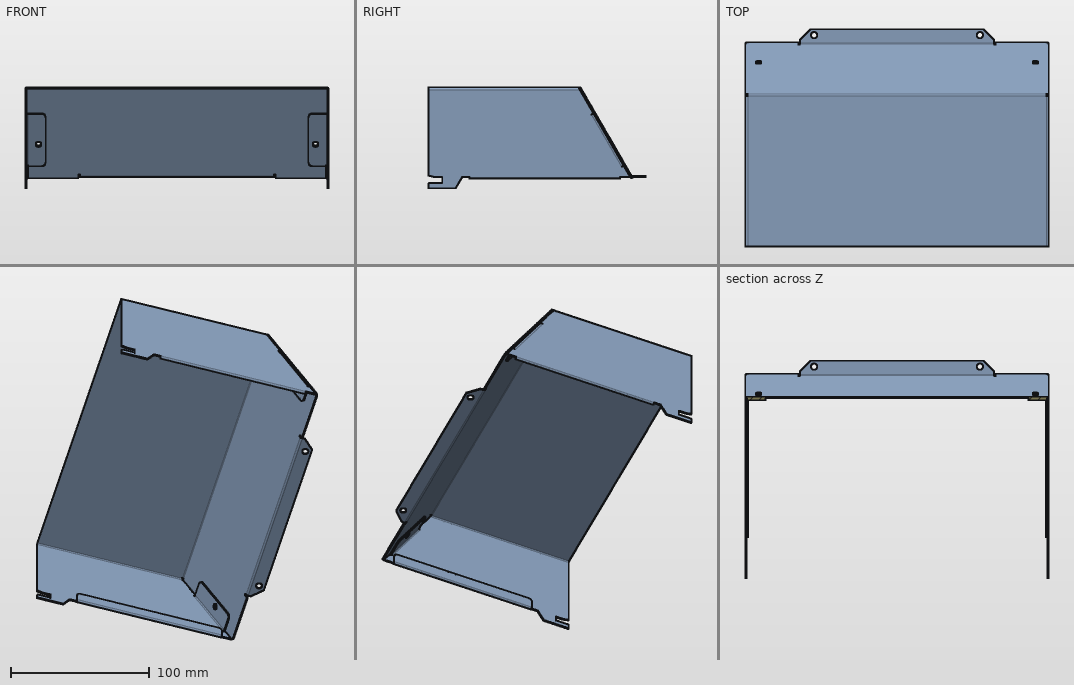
import cadquery as cq
import math


width = 219.0
depth = 156.8
height = 73.0

sheet = 1.0
outer_radius = 1.8
inner_radius = outer_radius - sheet
flap_corner_radius = 2.8

slope_angle = math.radians(60)
slope_start_y = 109.7
slope_length = 75.3
slope_corner_radius = 2.2

wall_bottom = 8.0
foot_top_y = 24.5
foot_bottom_y = 19.7
foot_corner_radius = 1.0
slot_depth = 10.0
slot_bottom = 4.0
slot_lead_y = 4.4
slot_lead_rise = 1.0

hem_start_y = 29.5
hem_end_y = 138.5
hem_height = 8.5
hem_gap = 0.2

slope_gap = 0.2

tab_start = 21.0
tab_length = 43.5
tab_edge_x = 94.8
tab_hole_x = 99.9
tab_hole_along = 46.5
tab_hole_diameter = 4.2

flange_width = 140.2
flange_relief = 1.0
flange_bend_height = 2.2
flange_chamfer = 7.7
flange_hole_x = 59.8
flange_hole_y = 152.5
flange_hole_diameter = 4.4

half_width = width / 2
slope_cos = math.cos(slope_angle)
slope_sin = math.sin(slope_angle)
wall_setback = (sheet + slope_gap) / slope_sin
tab_depth = sheet + slope_gap
bend_setback = sheet * math.tan(slope_angle / 2)
flange_top = wall_bottom + sheet

slope_section = cq.Plane(
    origin=(0, slope_start_y, height),
    xDir=(1, 0, 0),
    normal=(0, slope_cos, -slope_sin),
)

through_slope = cq.selectors.ParallelDirSelector(cq.Vector(0, slope_sin, slope_cos))


def slope_y(z):
    """Y of the slope's outer face at height z."""
    return slope_start_y + (height - z) / math.tan(slope_angle)


def centred_box(x_size, y_range, z_range):
    """Box centred on X that spans the given Y and Z ranges."""
    return cq.Workplane("XY").box(
        x_size, y_range[1] - y_range[0], z_range[1] - z_range[0], centered=(True, False, False)
    ).translate((0, y_range[0], z_range[0]))


def extrude_across(points, x_size):
    """Extrude a YZ outline symmetrically along X."""
    return cq.Workplane("YZ").polyline(points).close().extrude(x_size / 2, both=True)


def fillet_bend(body, y, z, radius):
    """Round the bend edge along X that passes nearest to (0, y, z)."""
    return body.edges(cq.NearestToPointSelector((0, y, z))).fillet(radius)


def make_top_and_walls():
    """Inverted U channel trimmed to the side outline with its hooked feet."""
    outside = centred_box(width, (0, depth), (0, height))
    outside = outside.edges("|Y and >Z").fillet(outer_radius)
    inside = centred_box(width - 2 * sheet, (0, depth), (-sheet, height - sheet))
    inside = inside.edges("|Y and >Z").fillet(inner_radius)
    side_outline = [
        (0, 0),
        (foot_bottom_y, 0),
        (foot_top_y, wall_bottom),
        (slope_y(wall_bottom) - wall_setback, wall_bottom),
        (slope_start_y - wall_setback, height),
        (0, height),
        (0, wall_bottom + slot_lead_rise),
        (slot_lead_y, wall_bottom),
        (slot_depth, wall_bottom),
        (slot_depth, slot_bottom),
        (0, slot_bottom),
    ]
    side = extrude_across(side_outline, width)
    side = side.edges(cq.NearestToPointSelector((0, 0, slot_bottom))).fillet(foot_corner_radius)
    return outside.cut(inside).intersect(side)


def make_slope():
    """Sloped back, bent down from the top sheet and notched for the rear flange."""
    overlap_y = slope_start_y - 2 * outer_radius
    end_y = slope_start_y + slope_length * slope_cos
    end_z = height - slope_length * slope_sin
    profile = [
        (overlap_y, height),
        (slope_start_y, height),
        (end_y, end_z),
        (end_y - sheet * slope_sin, end_z - sheet * slope_cos),
        (slope_start_y - bend_setback, height - sheet),
        (overlap_y, height - sheet),
    ]
    slope = extrude_across(profile, width)
    slope = slope.edges(through_slope).edges("<Z").fillet(slope_corner_radius)
    slope = fillet_bend(slope, slope_start_y, height, outer_radius)
    slope = fillet_bend(slope, slope_start_y - bend_setback, height - sheet, inner_radius)
    flange_notch = centred_box(
        flange_width + 2 * flange_relief, (slope_start_y, depth), (0, flange_top + inner_radius)
    )
    slope = slope.cut(flange_notch)

    notch_y = (overlap_y, slope_start_y + outer_radius)
    notch_z = (height - sheet, height)
    middle = centred_box(width - 2 * outer_radius, notch_y, notch_z)
    return slope.cut(centred_box(width, notch_y, notch_z).cut(middle))


def make_flange():
    """Rear flange with its bend, chamfered corners and two mounting holes."""
    bend_z = flange_top + flange_bend_height
    bend_y = slope_y(bend_z)
    corner_y = slope_y(flange_top)
    profile = [
        (bend_y, bend_z),
        (corner_y, flange_top),
        (depth, flange_top),
        (depth, wall_bottom),
        (corner_y - bend_setback, wall_bottom),
        (bend_y - sheet * slope_sin, bend_z - sheet * slope_cos),
    ]
    flange = extrude_across(profile, flange_width)
    flange = flange.edges("|Z and >Y").chamfer(flange_chamfer)
    flange = fillet_bend(flange, corner_y, flange_top, inner_radius)
    flange = fillet_bend(flange, corner_y - bend_setback, wall_bottom, outer_radius)
    holes = (
        cq.Workplane("XY")
        .pushPoints([(-flange_hole_x, flange_hole_y), (flange_hole_x, flange_hole_y)])
        .circle(flange_hole_diameter / 2)
        .extrude(height)
    )
    return flange.cut(holes)


def make_left_hem():
    """Lower edge of the left wall, folded up inside it."""
    fold_radius = sheet + hem_gap / 2
    outer_x = -half_width
    inner_x = outer_x + 2 * fold_radius
    hem = (
        cq.Workplane("XZ", origin=(0, hem_start_y, 0))
        .moveTo(outer_x, wall_bottom)
        .threePointArc((outer_x + fold_radius, wall_bottom - fold_radius), (inner_x, wall_bottom))
        .lineTo(inner_x, wall_bottom + hem_height)
        .lineTo(inner_x - sheet, wall_bottom + hem_height)
        .lineTo(inner_x - sheet, wall_bottom)
        .threePointArc(
            (outer_x + fold_radius, wall_bottom - hem_gap / 2),
            (outer_x + sheet, wall_bottom),
        )
        .lineTo(outer_x, wall_bottom)
        .close()
        .extrude(hem_start_y - hem_end_y)
    )
    return hem.edges("|X and >Z").fillet(flap_corner_radius)


def tab_plane():
    """Slope section at the upper end of the tabs."""
    return cq.Workplane(slope_section).workplane(offset=tab_start)


def make_left_tab_clearance():
    """Strip of the left wall edge that is bent away to form the tab."""
    return (
        tab_plane()
        .moveTo(-half_width, tab_depth)
        .rect(outer_radius, outer_radius, centered=False)
        .extrude(tab_length)
    )


def make_left_tab():
    """Tab under the left edge of the slope, with the bend that joins it to the wall."""
    centre_x = -half_width + outer_radius
    centre_depth = tab_depth + outer_radius
    diagonal = math.sqrt(0.5)
    bend = (
        tab_plane()
        .moveTo(-half_width, centre_depth)
        .threePointArc(
            (centre_x - outer_radius * diagonal, centre_depth - outer_radius * diagonal),
            (centre_x, tab_depth),
        )
        .lineTo(centre_x, tab_depth + sheet)
        .threePointArc(
            (centre_x - inner_radius * diagonal, centre_depth - inner_radius * diagonal),
            (-half_width + sheet, centre_depth),
        )
        .close()
        .extrude(tab_length)
    )
    plate = (
        tab_plane()
        .moveTo(centre_x, tab_depth)
        .rect(-tab_edge_x - centre_x, sheet, centered=False)
        .extrude(tab_length)
    )
    plate = plate.edges(through_slope).edges(">X").fillet(flap_corner_radius)
    return bend.union(plate)


def make_left_tab_hole():
    """Hole square to the slope, through the slope and the left tab."""
    plane = cq.Plane(
        origin=(0, slope_start_y, height),
        xDir=(1, 0, 0),
        normal=(0, -slope_sin, -slope_cos),
    )
    return (
        cq.Workplane(plane)
        .center(-tab_hole_x, -tab_hole_along)
        .circle(tab_hole_diameter / 2)
        .extrude(4 * sheet, both=True)
    )


def both_sides(left):
    """A left-hand feature together with its mirror image on the right."""
    return left.union(left.mirror("YZ"))


hood = make_top_and_walls().cut(both_sides(make_left_tab_clearance()))
hood = hood.union(make_slope()).union(make_flange())
hood = hood.union(both_sides(make_left_hem())).union(both_sides(make_left_tab()))
result = hood.cut(both_sides(make_left_tab_hole()))